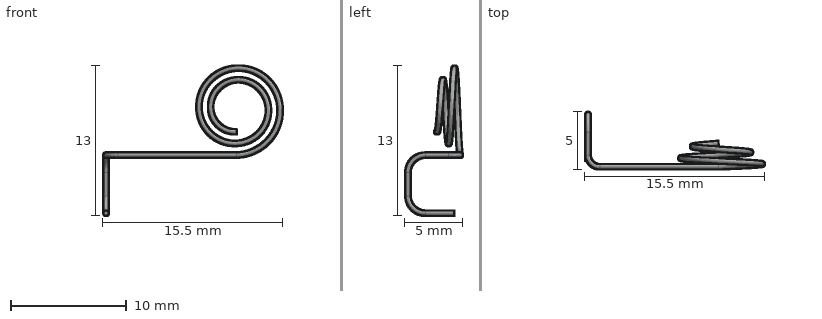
import cadquery as cq
import math

wire_diameter = 0.5
wire_radius = wire_diameter / 2

arm_bend_radius = 1.0
hook_bend_radius = 1.5
arm_length = 10.25
shank_length = 2.0
drop_length = 2.0
tip_length = 2.5

coil_start_radius = 4.0
coil_turns = 2
coil_pitch = 1.0
coil_radius_step = 1.0
points_per_turn = 24

arm_end_x = -arm_length
hook_x = arm_end_x - arm_bend_radius
shank_end_y = arm_bend_radius + shank_length
drop_y = shank_end_y + hook_bend_radius
drop_end_z = -hook_bend_radius - drop_length
tip_z = drop_end_z - hook_bend_radius
diagonal = math.sqrt(0.5)


def bend_middle(center, radius, direction):
    """Point halfway round a quarter bend, diagonally out from its centre."""
    return tuple(c + d * radius * diagonal for c, d in zip(center, direction))


def coil_point(turn):
    """Coil centreline after a given number of turns, starting at the bottom."""
    angle = 2 * math.pi * turn
    radius = coil_start_radius - coil_radius_step * turn
    return (
        radius * math.sin(angle),
        coil_pitch * turn,
        coil_start_radius - radius * math.cos(angle),
    )


def sweep_wire(path):
    """Round wire swept along a path that starts at the origin."""
    return cq.Workplane("YZ").circle(wire_radius).sweep(path)


def make_hook():
    arm_bend_center = (arm_end_x, arm_bend_radius, 0)
    upper_bend_center = (hook_x, shank_end_y, -hook_bend_radius)
    lower_bend_center = (hook_x, shank_end_y, drop_end_z)
    path = (
        cq.Workplane("XY")
        .moveTo(0, 0)
        .lineTo(arm_end_x, 0)
        .threePointArc(
            bend_middle(arm_bend_center, arm_bend_radius, (-1, -1, 0)),
            (hook_x, arm_bend_radius, 0),
        )
        .lineTo(hook_x, shank_end_y)
        .threePointArc(
            bend_middle(upper_bend_center, hook_bend_radius, (0, 1, 1)),
            (hook_x, drop_y, -hook_bend_radius),
        )
        .polyline([(hook_x, drop_y, drop_end_z)], includeCurrent=True)
        .threePointArc(
            bend_middle(lower_bend_center, hook_bend_radius, (0, 1, -1)),
            (hook_x, shank_end_y, tip_z),
        )
        .polyline([(hook_x, shank_end_y - tip_length, tip_z)], includeCurrent=True)
    )
    return sweep_wire(path)


def make_coil():
    path = cq.Workplane("XY").parametricCurve(
        lambda t: coil_point(coil_turns * t), N=coil_turns * points_per_turn
    )
    return sweep_wire(path)


result = make_hook().union(make_coil())